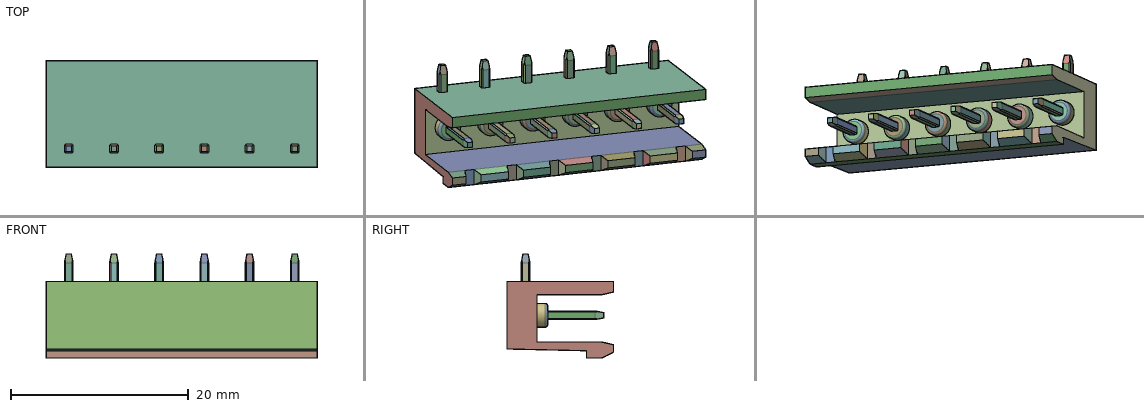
import cadquery as cq

PIN_COUNT = 6
PITCH = 5.08
LENGTH = PIN_COUNT * PITCH
DEPTH = 12.0
BACK_WALL = 3.4
UPPER_ARM = 1.5
CAVITY_HEIGHT = 5.3
LOWER_ARM = 1.0

LEAD_IN_LENGTH = 1.3
LEAD_IN_RISE = 0.3
LATCH_LENGTH = 3.05
LATCH_DROP = 0.8
LATCH_NOSE_RISE = 0.65
UNDERSIDE_RISE = 0.2

PIN_SIZE = 1.0
PIN_CHAMFER = 0.15
PIN_TIP_SIZE = 0.6
PIN_TIP_LENGTH = 1.0
SOLDER_LEG_LENGTH = 3.1
SOLDER_LEG_Y = 2.1
MATING_PIN_DROP = 3.8
MATING_PIN_END_GAP = 1.1
PIN_EMBED = 1.0

COLLAR_DIAMETER = 2.7
COLLAR_LENGTH = 1.2
COLLAR_FILLET = 0.3

NOTCH_MOUTH_WIDTH = 1.8
NOTCH_INNER_WIDTH = 1.1

lower_arm_top = LATCH_DROP + LOWER_ARM
upper_arm_bottom = lower_arm_top + CAVITY_HEIGHT
housing_top = upper_arm_bottom + UPPER_ARM
mating_pin_z = housing_top - MATING_PIN_DROP
mating_leg_length = DEPTH - MATING_PIN_END_GAP - BACK_WALL
pin_x_positions = [(i - (PIN_COUNT - 1) / 2) * PITCH for i in range(PIN_COUNT)]


def make_housing():
    """C-shaped profile in the YZ plane, extruded along the pin row."""
    latch_y = DEPTH - LATCH_LENGTH
    lead_in_y = DEPTH - LEAD_IN_LENGTH
    outline = [
        (0, LATCH_DROP + UNDERSIDE_RISE),
        (0, housing_top),
        (DEPTH, housing_top),
        (DEPTH, upper_arm_bottom + LEAD_IN_RISE),
        (lead_in_y, upper_arm_bottom),
        (BACK_WALL, upper_arm_bottom),
        (BACK_WALL, lower_arm_top),
        (lead_in_y, lower_arm_top),
        (DEPTH, lower_arm_top - LEAD_IN_RISE),
        (DEPTH, LATCH_NOSE_RISE),
        (lead_in_y, 0),
        (latch_y, 0),
        (latch_y, LATCH_DROP),
    ]
    return cq.Workplane("YZ").polyline(outline).close().extrude(LENGTH / 2, both=True)


def make_leg(exposed_length):
    """Upright pin leg: Z = 0 at the housing surface, tapered tip on top."""
    shank_length = exposed_length - PIN_TIP_LENGTH
    wire = (
        cq.Workplane("XY")
        .workplane(offset=-PIN_EMBED)
        .rect(PIN_SIZE, PIN_SIZE)
        .extrude(PIN_EMBED + exposed_length)
        .edges("|Z")
        .chamfer(PIN_CHAMFER)
    )
    square_shank = (
        cq.Workplane("XY")
        .workplane(offset=-PIN_EMBED)
        .rect(PIN_SIZE, PIN_SIZE)
        .extrude(PIN_EMBED + shank_length)
    )
    tip = (
        cq.Workplane("XY")
        .workplane(offset=shank_length)
        .rect(PIN_SIZE, PIN_SIZE)
        .workplane(offset=PIN_TIP_LENGTH)
        .rect(PIN_TIP_SIZE, PIN_TIP_SIZE)
        .loft()
    )
    return wire.intersect(square_shank.union(tip))


def make_collar():
    """Upright round collar with a rounded outer rim, Z = 0 at the cavity floor."""
    return (
        cq.Workplane("XY")
        .circle(COLLAR_DIAMETER / 2)
        .extrude(COLLAR_LENGTH)
        .faces(">Z")
        .edges()
        .fillet(COLLAR_FILLET)
    )


def make_notch_cutter():
    """Tapered notch through the lower arm, open at the mouth, as deep as the lead-in."""
    inner_y = DEPTH - LEAD_IN_LENGTH
    outline = [
        (-NOTCH_MOUTH_WIDTH / 2, DEPTH),
        (-NOTCH_INNER_WIDTH / 2, inner_y),
        (NOTCH_INNER_WIDTH / 2, inner_y),
        (NOTCH_MOUTH_WIDTH / 2, DEPTH),
    ]
    return cq.Workplane("XY").polyline(outline).close().extrude(lower_arm_top)


solder_leg = make_leg(SOLDER_LEG_LENGTH)
mating_leg = make_leg(mating_leg_length).union(make_collar())
mating_leg = mating_leg.rotate((0, 0, 0), (1, 0, 0), -90)

notch_cutter = make_notch_cutter()

result = make_housing()
for x in pin_x_positions:
    result = result.cut(notch_cutter.translate((x, 0, 0)))
    result = result.union(solder_leg.translate((x, SOLDER_LEG_Y, housing_top)))
    result = result.union(mating_leg.translate((x, BACK_WALL, mating_pin_z)))